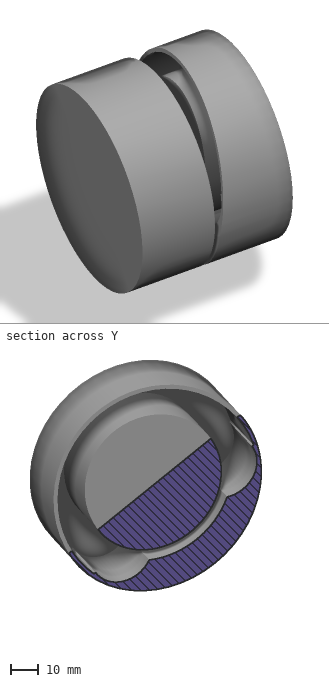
import cadquery as cq
import math

OUTER_RADIUS = 40.0
BODY_LENGTH = 30.0
GAP = 2.0
EDGE_CHAMFER = 0.2

SLANT_MID_Y = 35.7
SLANT_RISE = 5.5
UPHILL_ANGLE = 123.0

WALL_THICKNESS = 1.5
RECESS_FLOOR_Y = 58.0
BOSS_RADIUS = 26.2
BOSS_OFFSET = 3.4

LAND_CLEARANCE = 4.0
POCKET_END_RADIUS = 12.0
POCKET_END_ANGLE = 113.5

housing_front_y = BODY_LENGTH + GAP
recess_radius = OUTER_RADIUS - WALL_THICKNESS
recess_depth = RECESS_FLOOR_Y - housing_front_y
slant_angle = math.degrees(math.atan2(SLANT_RISE, OUTER_RADIUS))


def cylinder_y(radius, start_y, length, offset=0.0, angle=0.0):
    """Solid cylinder along +Y; its axis sits at a polar offset, angle from +X toward +Z."""
    x = offset * math.cos(math.radians(angle))
    z = offset * math.sin(math.radians(angle))
    base = cq.Workplane(cq.Plane(origin=(x, start_y, z), xDir=(1, 0, 0), normal=(0, 1, 0)))
    return base.circle(radius).extrude(length)


def make_drum(start_y):
    """Plain drum with a tiny chamfer on its +Y rim."""
    return cylinder_y(OUTER_RADIUS, start_y, BODY_LENGTH).faces(">Y").chamfer(EDGE_CHAMFER)


def cut_slant(body):
    """Remove what lies on the -Y side of the slanted plane."""
    size = 4 * OUTER_RADIUS
    cutter = cq.Workplane("XY").box(size, size, size).translate((0, -size / 2, 0))
    cutter = cutter.rotate((0, 0, 0), (0, 0, 1), slant_angle)
    cutter = cutter.rotate((0, 0, 0), (0, 1, 0), -UPHILL_ANGLE)
    return body.cut(cutter.translate((0, SLANT_MID_Y, 0)))


def recess_cylinder(radius, offset=0.0, angle=0.0):
    """Cylinder as deep as the recess."""
    return cylinder_y(radius, housing_front_y, recess_depth, offset, angle)


def make_land():
    """Material left on the low side of the recess, clear of the boss."""
    end_offset = recess_radius - POCKET_END_RADIUS
    land_start = -end_offset * math.cos(math.radians(POCKET_END_ANGLE))
    land = cq.Workplane("XY").box(
        OUTER_RADIUS, recess_depth, 2 * OUTER_RADIUS, centered=(False, False, True)
    )
    land = land.translate((land_start, housing_front_y, 0))
    land = land.rotate((0, 0, 0), (0, 1, 0), 180 - UPHILL_ANGLE)
    land = land.cut(recess_cylinder(BOSS_RADIUS + LAND_CLEARANCE, BOSS_OFFSET, UPHILL_ANGLE))
    for side in (-1, 1):
        end_angle = UPHILL_ANGLE + side * POCKET_END_ANGLE
        land = land.cut(recess_cylinder(POCKET_END_RADIUS, end_offset, end_angle))
    return land


def make_recess():
    """Round recess that leaves the off-centre boss and the land standing."""
    boss = recess_cylinder(BOSS_RADIUS, BOSS_OFFSET, UPHILL_ANGLE)
    return recess_cylinder(recess_radius).cut(boss).cut(make_land())


def make_housing():
    """Drum with a slanted, recessed front."""
    return cut_slant(make_drum(housing_front_y)).cut(make_recess())


drum = make_drum(0.0)
housing = make_housing()

result = cq.Compound.makeCompound([drum.val(), housing.val()])